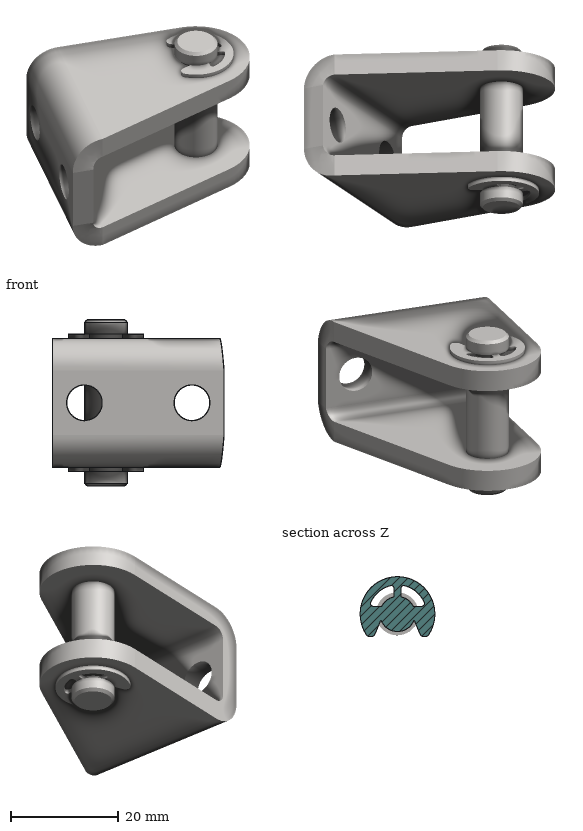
import cadquery as cq
import math

width = 32.0
depth = 40.0
height = 24.0
thickness = 4.0
bend_inner_radius = 2.0
bend_outer_radius = bend_inner_radius + thickness
ear_radius = 10.0
ear_x = ear_radius
ear_y = depth - ear_radius

mount_hole_diameter = 6.6
mount_hole_spacing = 20.0
mount_hole_edge = 6.0

pin_diameter = 8.0
pin_length = 31.0
pin_chamfer = 0.5
groove_radius = 6.6 / 2

clip_thickness = 0.8
clip_radius = 7.0
clip_tip_radius = 1.0
clip_tip_angle = math.radians(-33)
clip_mouth_x = 3.1
clip_mouth_y = -math.sqrt(groove_radius**2 - clip_mouth_x**2)
window_radius = 5.4
window_bottom = 1.5
window_corner_radius = 0.5
tab_width = 1.35

clearance = 0.4

corner_dx = width - ear_x
corner_dy = thickness - ear_y
corner_distance = math.hypot(corner_dx, corner_dy)
tangent_angle = math.atan2(corner_dy, corner_dx) + math.acos(ear_radius / corner_distance)
tangent_x = ear_x + ear_radius * math.cos(tangent_angle)
tangent_y = ear_y + ear_radius * math.sin(tangent_angle)
bend_start_y = bend_outer_radius
bend_start_x = width - (bend_start_y - thickness) * math.tan(tangent_angle)


def make_channel():
    """U-shaped channel with rounded bends, open toward +Y."""
    outer = (
        cq.Workplane("XY")
        .box(width, depth, height, centered=(False, False, True))
        .edges("|X and <Y")
        .fillet(bend_outer_radius)
    )
    inner = (
        cq.Workplane("XY")
        .box(width, depth, height - 2 * thickness, centered=(False, False, True))
        .edges("|X and <Y")
        .fillet(bend_inner_radius)
        .translate((0, thickness, 0))
    )
    return outer.cut(inner)


def make_flange_outline():
    """Plan shape of the bracket, with the full width kept along the bends."""
    arc_angle = (tangent_angle + math.pi) / 2
    arc_mid = (
        ear_x + ear_radius * math.cos(arc_angle),
        ear_y + ear_radius * math.sin(arc_angle),
    )
    return (
        cq.Workplane("XY")
        .polyline([(0, ear_y), (0, 0), (width, 0), (width, bend_start_y)])
        .lineTo(bend_start_x, bend_start_y)
        .lineTo(tangent_x, tangent_y)
        .threePointArc(arc_mid, (0, ear_y))
        .close()
        .extrude(height / 2, both=True)
    )


def bend_edge(radius):
    """Curve around the upper bend that widens evenly from flange to back wall."""

    def point(t):
        angle = t * math.pi / 2
        return (
            bend_start_x + t * (width - bend_start_x),
            bend_start_y - radius * math.sin(angle),
            height / 2 - bend_outer_radius + radius * math.cos(angle),
        )

    return cq.Workplane("XY").parametricCurve(point, makeWire=False).val()


def make_bend_trim():
    """Body beyond the helical end face of the upper bend."""
    face = cq.Face.makeRuledSurface(
        bend_edge(bend_inner_radius - clearance),
        bend_edge(bend_outer_radius + clearance),
    )
    return cq.Workplane(cq.Solid.extrudeLinear(face, cq.Vector(width, 0, 0)))


def make_bracket():
    bend_trim = make_bend_trim()
    mount_holes = (
        cq.Workplane("XZ")
        .pushPoints([(mount_hole_edge, 0), (mount_hole_edge + mount_hole_spacing, 0)])
        .circle(mount_hole_diameter / 2)
        .extrude(-thickness)
    )
    return (
        make_channel()
        .intersect(make_flange_outline())
        .cut(bend_trim)
        .cut(bend_trim.mirror("XY"))
        .cut(mount_holes)
    )


def make_groove():
    """Ring removed from the pin just outside the upper flange."""
    return (
        cq.Workplane("XY", origin=(0, 0, height / 2))
        .circle(pin_diameter / 2 + clearance)
        .circle(groove_radius)
        .extrude(clip_thickness)
    )


def make_pin():
    groove = make_groove()
    return (
        cq.Workplane("XY")
        .circle(pin_diameter / 2)
        .extrude(pin_length / 2, both=True)
        .faces("<Z or >Z")
        .chamfer(pin_chamfer)
        .cut(groove)
        .cut(groove.mirror("XY"))
    )


def make_clip():
    """Retaining clip on the upper flange, its mouth facing -Y."""
    tip_distance = clip_radius - clip_tip_radius
    tip_x = tip_distance * math.cos(clip_tip_angle)
    tip_y = tip_distance * math.sin(clip_tip_angle)
    arm_start_x = clip_radius * math.cos(clip_tip_angle)
    arm_start_y = clip_radius * math.sin(clip_tip_angle)

    to_mouth_x = clip_mouth_x - tip_x
    to_mouth_y = clip_mouth_y - tip_y
    to_mouth = math.hypot(to_mouth_x, to_mouth_y)
    mouth_angle = math.atan2(to_mouth_y, to_mouth_x) + math.acos(clip_tip_radius / to_mouth)
    arm_end_x = tip_x + clip_tip_radius * math.cos(mouth_angle)
    arm_end_y = tip_y + clip_tip_radius * math.sin(mouth_angle)
    tip_bottom_y = tip_y - clip_tip_radius

    clip = (
        cq.Workplane("XY")
        .moveTo(clip_mouth_x, clip_mouth_y)
        .lineTo(arm_end_x, arm_end_y)
        .threePointArc((tip_x, tip_bottom_y), (arm_start_x, arm_start_y))
        .threePointArc((0, clip_radius), (-arm_start_x, arm_start_y))
        .threePointArc((-tip_x, tip_bottom_y), (-arm_end_x, arm_end_y))
        .lineTo(-clip_mouth_x, clip_mouth_y)
        .threePointArc((0, groove_radius), (clip_mouth_x, clip_mouth_y))
        .close()
        .extrude(clip_thickness)
    )
    window = (
        cq.Workplane("XY")
        .circle(window_radius)
        .extrude(clip_thickness)
        .intersect(
            cq.Workplane("XY")
            .box(window_radius, window_radius, clip_thickness, centered=False)
            .translate((tab_width / 2, window_bottom, 0))
        )
        .edges("|Z")
        .fillet(window_corner_radius)
    )
    return clip.cut(window).cut(window.mirror("YZ")).translate((0, 0, height / 2))


clip = make_clip()
pin_assembly = make_pin().union(clip).union(clip.mirror("XY"))
result = make_bracket().union(pin_assembly.translate((ear_x, ear_y, 0)))